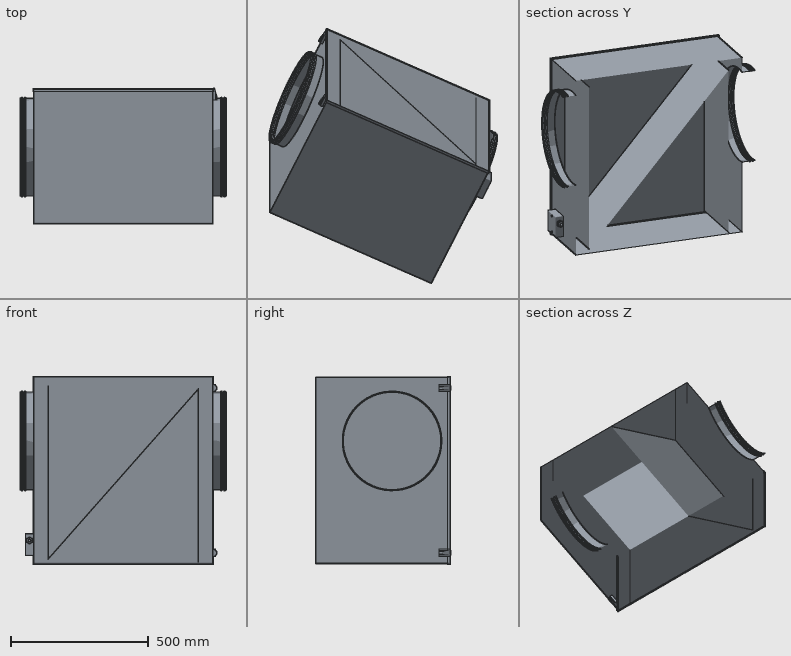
import cadquery as cq
import math


overall_length = 750.0
housing_length = 650.0
lid_height = 683.0
lid_lip = 3.0
front_y = -278.0
lid_y = 212.0
lid_plate = 2.0
lid_depth = 10.0
sheet = 2.0
bend_radius = 3.0

half_length = housing_length / 2
half_height = lid_height / 2 - lid_lip
housing_back_y = lid_y - lid_plate
lid_half_length = half_length + lid_lip
lid_half_height = lid_height / 2

duct_z = 107.0
duct_radius = 178.0
duct_wall = 1.5
duct_bore = duct_radius - duct_wall
bead_height = 3.0
bead_width = 6.5
groove_width = 4.5
bead_offsets = (19.0, 7.5)

baffle_half_span = 273.0
baffle_sheet = 1.0
baffle_leg = 630.0
baffle_low_z = -323.0
baffle_high_z = 297.0
baffle_gap = 0.3

box_size = 80.0
box_depth = 30.0
box_y = 130.0
box_z = -269.0
box_fillet = 3.0
screw_radius = 3.5
screw_depth = 3.0
screw_inset = 9.0

gland_x = -half_length - box_depth / 2
gland_z = -254.0
gland_neck_length = 4.0
gland_hex_corners = 26.0
gland_hex_length = 9.0
gland_cap_length = 5.0
gland_radius = 10.0
gland_cap_fillet = 3.0
gland_bore = 4.5

latch_z = 299.0
latch_height = 27.0
latch_tongue_height = 16.0
latch_nose_height = 9.0
latch_nose_x = 340.0
latch_shoulder_x = 334.0
latch_chamfer_x = 337.0
latch_top_x = 331.0
latch_low_y = 171.0
latch_top_y = 214.11
latch_nose_y = 182.0
latch_slot = 4.0


def block(x_range, y_range, z_range):
    """Box given by its limits along each axis."""
    limits = (x_range, y_range, z_range)
    size = [high - low for low, high in limits]
    corner = tuple(low for low, high in limits)
    return cq.Workplane("XY").box(*size, centered=False).translate(corner)


def make_housing():
    """Sheet box, open towards the lid, with a duct opening in both ends."""
    shell = block(
        (-half_length, half_length), (front_y, housing_back_y), (-half_height, half_height)
    )
    shell = shell.edges("|X and <Y").fillet(bend_radius)
    inner_length = half_length - sheet
    inner_height = half_height - sheet
    cavity = block(
        (-inner_length, inner_length), (front_y + sheet, housing_back_y), (-inner_height, inner_height)
    )
    cavity = cavity.edges("|X and <Y").fillet(bend_radius - sheet)
    openings = cq.Workplane("YZ").center(0, duct_z).circle(duct_bore).extrude(half_length, both=True)
    return shell.cut(cavity).cut(openings)


def make_lid():
    """Shallow pan that closes the housing and wraps its rim."""
    pan = block(
        (-lid_half_length, lid_half_length), (lid_y - lid_depth, lid_y), (-lid_half_height, lid_half_height)
    )
    recess = block(
        (-half_length, half_length), (lid_y - lid_depth, housing_back_y), (-half_height, half_height)
    )
    return pan.cut(recess)


def make_collar(side):
    """Thin duct spigot with two rolled beads, hollow inside; side is -1 or +1 along X."""
    end_x = overall_length / 2
    profile = cq.Workplane("XY").moveTo(half_length, duct_bore).lineTo(half_length, duct_radius)
    for offset in bead_offsets:
        centre = end_x - offset
        profile = profile.lineTo(centre - bead_width / 2, duct_radius)
        profile = profile.threePointArc(
            (centre, duct_radius + bead_height), (centre + bead_width / 2, duct_radius)
        )
    profile = profile.lineTo(end_x, duct_radius).lineTo(end_x, duct_bore)
    for offset in reversed(bead_offsets):
        centre = end_x - offset
        profile = profile.lineTo(centre + groove_width / 2, duct_bore)
        profile = profile.threePointArc(
            (centre, duct_bore + bead_height), (centre - groove_width / 2, duct_bore)
        )
    profile = profile.close()
    collar = profile.revolve(360, (0, 0, 0), (1, 0, 0)).translate((0, 0, duct_z))
    return collar if side > 0 else collar.mirror("YZ")


def make_baffle():
    """Thin sheet folded to an N: two upright legs joined by a diagonal."""
    rise = baffle_high_z - baffle_low_z
    span = 2 * baffle_half_span
    fold = baffle_sheet * (math.hypot(span, rise) + rise) / span
    left = -baffle_half_span
    right = baffle_half_span
    head = baffle_low_z + baffle_leg
    foot = baffle_high_z - baffle_leg
    outline = [
        (left, head),
        (left, baffle_low_z),
        (right - baffle_sheet, baffle_high_z - fold),
        (right - baffle_sheet, foot),
        (right, foot),
        (right, baffle_high_z),
        (left + baffle_sheet, baffle_low_z + fold),
        (left + baffle_sheet, head),
    ]
    start_y = front_y + sheet + baffle_gap
    depth = housing_back_y - baffle_gap - start_y
    return cq.Workplane("XZ", origin=(0, start_y, 0)).polyline(outline).close().extrude(-depth)


def make_junction_box():
    """Rounded box on the left end wall with two screw recesses in its cover."""
    face_x = -half_length - box_depth
    half = box_size / 2
    body = block(
        (face_x, -half_length), (box_y - half, box_y + half), (box_z - half, box_z + half)
    )
    body = body.edges("not >X").fillet(box_fillet)
    screw_z = half - screw_inset
    recesses = (
        cq.Workplane("YZ", origin=(face_x, box_y, box_z))
        .pushPoints([(0, screw_z), (0, -screw_z)])
        .circle(screw_radius)
        .extrude(screw_depth)
    )
    return body.cut(recesses)


def make_gland():
    """Round neck, hexagon and rounded cap with a cable bore, on the junction box's front side."""
    seat_y = box_y - box_size / 2
    length = gland_neck_length + gland_hex_length + gland_cap_length
    seat = cq.Workplane("XZ", origin=(gland_x, seat_y, gland_z))
    barrel = seat.circle(gland_radius).extrude(length).faces("<Y").edges().fillet(gland_cap_fillet)
    hexagon = (
        seat.workplane(offset=gland_neck_length)
        .transformed(rotate=(0, 0, 90))
        .polygon(6, gland_hex_corners)
        .extrude(gland_hex_length)
    )
    bore = seat.circle(gland_bore).extrude(length)
    return barrel.union(hexagon).cut(bore)


def make_latch(z):
    """Wedge-shaped latch on the right end, hooked over the lid by two prongs."""
    half = latch_height / 2
    side_profile = [
        (half_length, latch_low_y),
        (latch_nose_x, latch_low_y),
        (latch_nose_x, latch_nose_y),
        (latch_top_x, latch_top_y),
        (lid_half_length, latch_top_y),
        (lid_half_length, lid_y - lid_depth),
        (half_length, lid_y - lid_depth),
    ]
    body = cq.Workplane("XY").polyline(side_profile).close().extrude(half, both=True)

    tongue_half = latch_tongue_height / 2
    nose_half = latch_nose_height / 2
    upper_outline = [
        (latch_nose_x, nose_half),
        (latch_chamfer_x, tongue_half),
        (latch_shoulder_x, tongue_half),
        (latch_shoulder_x, half),
        (half_length, half),
    ]
    lower_outline = [(x, -height) for x, height in reversed(upper_outline)]
    nose_profile = upper_outline + lower_outline
    depth = latch_top_y - latch_low_y
    nose = cq.Workplane("XZ", origin=(0, latch_low_y, 0)).polyline(nose_profile).close().extrude(-depth)
    body = body.intersect(nose)

    x_range = (half_length, latch_nose_x)
    tip = (lid_y, latch_top_y)
    for low, high in ((-half, -tongue_half), (-latch_slot / 2, latch_slot / 2), (tongue_half, half)):
        body = body.cut(block(x_range, tip, (low, high)))
    return body.translate((0, 0, z))


housing = make_housing()
lid = make_lid()
collars = [make_collar(side) for side in (-1, 1)]
baffle = make_baffle()
junction_box = make_junction_box()
gland = make_gland()
latches = [make_latch(z) for z in (-latch_z, latch_z)]

result = cq.Compound.makeCompound([
    housing.val(),
    lid.val(),
    *[collar.val() for collar in collars],
    baffle.val(),
    junction_box.val(),
    gland.val(),
    *[latch.val() for latch in latches],
])